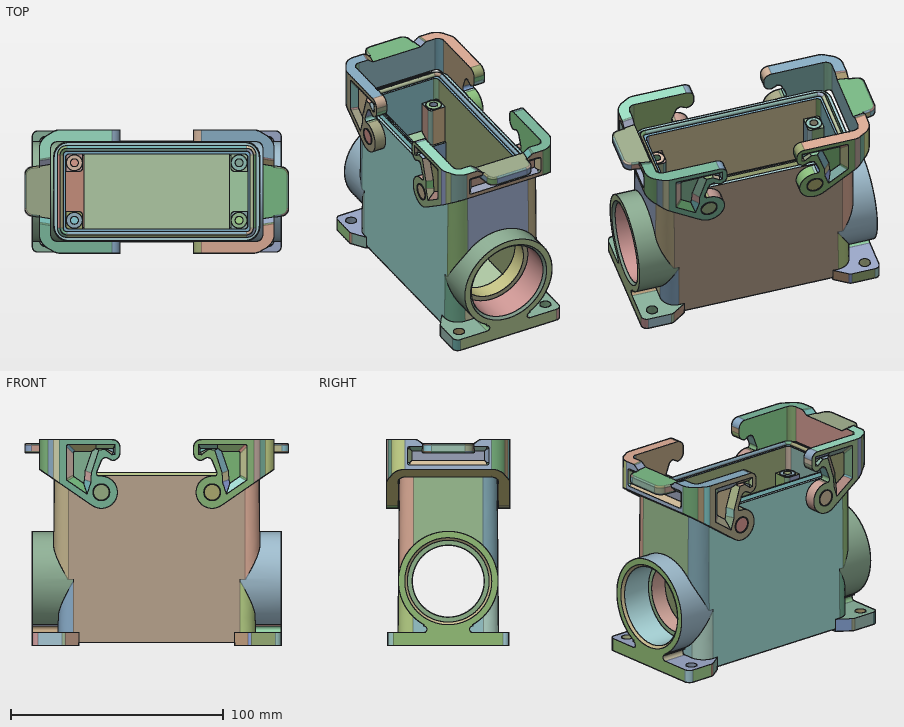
import cadquery as cq
import math

overall_length = 124.0
overall_width = 58.0
overall_height = 96.8

body_bottom = 1.4
cable_axis_height = 30.3
lip_height = 79.9
body_length = 97.7
body_width = 47.4
lower_body_length = 92.8
upper_body_corner = 7.5
lower_body_corner = 7.2
body_draft = 0.5

bead_height = 1.5
bead_outer_length = 93.2
bead_outer_width = 43.2
bead_corner = 4.3
bead_slope_width = 1.2
bead_width = 2.7
bead_rounding = 1.2

cavity_length = 85.8
cavity_width = 35.2
cavity_corner = 1.9
cavity_floor = 6.2
lower_cavity_length = 68.5
end_block_height = 52.1
end_block_slope = 25.0

post_x = 38.7
post_y = 13.5
post_size = 7.7
post_wall_overlap = 0.5
post_corner = 1.7
post_height = 68.5
post_pad_radius = 3.7
post_pad_height = 0.4
post_hole_radius = 1.9
post_hole_depth = 14.9

entry_face = 58.5
entry_radius = 23.4
entry_bore_radius = 19.2
entry_bore_end = 42.5
entry_chamfer = 1.2
passage_radius = 16.9
web_half_width = 10.0
web_top = 10.7
web_groove_radius = 1.5

flange_height = 6.2
flange_half_width = 28.5
flange_shoulder = 43.6
flange_inner_end = 36.6
flange_corner = 2.7
flange_hole_x = 52.3
flange_hole_y = 23.2
flange_hole_radius = 2.6

lever_end = 55.2
lever_inner_end = 49.8
lever_inner_half_width = 23.4
lever_inner_corner = 3.1
lever_slope = 34.4
pivot_x = 26.0
pivot_z = 72.0
pivot_boss_radius = 7.6
pin_radius = 4.0
pin_inner_radius = 3.7
pin_groove_depth = 0.2
hook_end = 17.2
hook_radius = 3.7
hook_bottom = 86.9
recess_top = 94.5
recess_depth = 2.5
hook_recess_depth = 1.5
recess_corner = 1.6

end_recess_half_width = 19.2
end_recess_bottom = 84.8
end_recess_top = 93.6
end_recess_depth = 2.2
end_recess_corner = 1.2

tab_top = 94.9
tab_bottom = 90.5
tab_tip_half_width = 11.2
tab_root_half_width = 12.8
tab_corner = 3.7
tab_edge = 0.7
notch_end_half_width = 11.9
notch_flare = 2.9
notch_rounding = 1.2

half_width = overall_width / 2


def rounded_block(length, width, corner, bottom, top, draft=0):
    """Upright block with rounded vertical corners, optionally tapering upwards."""
    outline = cq.Sketch().rect(length, width).vertices().fillet(corner)
    return cq.Workplane("XY", origin=(0, 0, bottom)).placeSketch(outline).extrude(top - bottom, taper=draft)


def both_ends(shape):
    """Shape at the -X end together with its mirror image at the +X end."""
    return shape.union(shape.mirror("YZ"))


def rod_along_x(radius, start, end):
    """Rod on the cable axis between two X positions."""
    return cq.Workplane("YZ", origin=(start, 0, cable_axis_height)).circle(radius).extrude(end - start)


def make_body():
    """Tapered body that is shorter below the cable axis; both parts share the same side faces."""
    upper = rounded_block(body_length, body_width, upper_body_corner, body_bottom, lip_height, body_draft)
    lower = rounded_block(lower_body_length, body_width, lower_body_corner,
                          body_bottom, lip_height, body_draft)
    above_axis = (
        cq.Workplane("XY", origin=(0, 0, cable_axis_height))
        .rect(overall_length, overall_width)
        .extrude(overall_height)
    )
    return upper.intersect(above_axis).union(lower)


def make_bead():
    """Ring with a sloped outer flank and a rounded inner flank."""
    slope_angle = math.degrees(math.atan(bead_slope_width / bead_height))
    top = lip_height + bead_height
    inner_length = bead_outer_length - 2 * bead_width
    inner_width = bead_outer_width - 2 * bead_width
    ring = rounded_block(bead_outer_length, bead_outer_width, bead_corner, lip_height, top, slope_angle)
    inner = rounded_block(inner_length, inner_width, bead_corner - bead_width, lip_height, top)
    margin = 0.1
    inner_rim = cq.selectors.BoxSelector(
        (-inner_length / 2 - margin, -inner_width / 2 - margin, top - margin),
        (inner_length / 2 + margin, inner_width / 2 + margin, top + margin),
        boundingbox=True)
    return ring.cut(inner).edges(inner_rim).fillet(bead_rounding)


def make_cavity():
    """Cavity whose ends step inwards over sloped blocks above the cable entries."""
    cavity = rounded_block(cavity_length, cavity_width, cavity_corner, cavity_floor, lip_height)
    step = (cavity_length - lower_cavity_length) / 2
    slope_foot = end_block_height - step * math.tan(math.radians(end_block_slope))
    end_block = (
        cq.Workplane("XZ")
        .polyline([
            (-cavity_length / 2, cavity_floor),
            (-lower_cavity_length / 2, cavity_floor),
            (-lower_cavity_length / 2, slope_foot),
            (-cavity_length / 2, end_block_height),
        ])
        .close()
        .extrude(cavity_width / 2, both=True)
    )
    return cavity.cut(both_ends(end_block))


def make_posts():
    """Drilled posts that rise from inside the end blocks, each topped by a low round pad."""
    centres = [(sx * post_x, sy * post_y) for sx in (-1, 1) for sy in (-1, 1)]
    foot = end_block_height - (cavity_length - lower_cavity_length)
    outline = cq.Sketch().push(centres).rect(post_size, post_size + post_wall_overlap).reset()
    outline = outline.vertices(cq.selectors.BoxSelector(
        (-post_x, -post_y, -1.2), (post_x, post_y, 1.2))).fillet(post_corner)
    posts = cq.Workplane("XY", origin=(0, 0, foot)).placeSketch(outline)
    posts = posts.extrude(post_height - post_pad_height - foot)
    pads = cq.Workplane("XY", origin=(0, 0, foot)).pushPoints(centres)
    pads = pads.circle(post_pad_radius).extrude(post_height - foot)
    holes = cq.Workplane("XY", origin=(0, 0, post_height)).pushPoints(centres)
    holes = holes.circle(post_hole_radius).extrude(-post_hole_depth)
    return posts.union(pads).cut(holes)


def make_entry():
    """Cable tube with a grooved web that joins it to the flange."""
    flat_side_end = lower_body_length / 2 - lower_body_corner
    tube = rod_along_x(entry_radius, -entry_face, -flat_side_end)
    web_length = entry_face - lower_body_length / 2
    web_depth = web_top - flange_height
    web = (
        cq.Workplane("XY", origin=(-entry_face + web_length / 2, 0, flange_height + web_depth / 2))
        .box(web_length, 2 * (web_half_width + web_groove_radius), web_depth)
    )
    grooves = (
        cq.Workplane("YZ", origin=(-entry_face, 0, flange_height + web_groove_radius))
        .pushPoints([(s * (web_half_width + web_groove_radius), 0) for s in (-1, 1)])
        .circle(web_groove_radius)
        .extrude(web_length)
    )
    return tube.union(web.cut(grooves))


def make_entry_bore():
    """Chamfered bore with a narrower passage into the cavity."""
    bore = rod_along_x(entry_bore_radius, -entry_face, -entry_bore_end)
    mouth = (
        cq.Workplane("YZ", origin=(-entry_face, 0, cable_axis_height))
        .circle(entry_bore_radius + entry_chamfer)
        .workplane(offset=entry_chamfer)
        .circle(entry_bore_radius)
        .loft()
    )
    return bore.union(mouth).union(rod_along_x(passage_radius, -entry_face, 0))


def make_flange():
    """Plate across the -X end that narrows to meet the body sides."""
    body_side = body_width / 2
    plate = (
        cq.Workplane("XY")
        .polyline([
            (-entry_face, -flange_half_width),
            (-flange_shoulder, -flange_half_width),
            (-flange_inner_end, -body_side),
            (-flange_inner_end, body_side),
            (-flange_shoulder, flange_half_width),
            (-entry_face, flange_half_width),
        ])
        .close()
        .extrude(flange_height)
    )
    plate = plate.edges("|Z").edges(cq.selectors.BoxSelector(
        (-overall_length, -half_width, -1.2), (-flange_shoulder + 1.2, half_width, flange_height + 1.2)))
    return plate.fillet(flange_corner)


def make_flange_holes():
    return (
        cq.Workplane("XY")
        .pushPoints([(-flange_hole_x, s * flange_hole_y) for s in (-1, 1)])
        .circle(flange_hole_radius)
        .extrude(flange_height)
    )


def lever_side_profile():
    """Side outline: flat top, hook, neck, pivot boss and sloped lower edge."""
    slope = math.radians(lever_slope)
    tangent_x = -pivot_x - pivot_boss_radius * math.sin(slope)
    tangent_z = pivot_z - pivot_boss_radius * math.cos(slope)
    end_z = tangent_z + (tangent_x + lever_end) * math.tan(slope)
    hook_x = -hook_end - hook_radius
    diagonal = hook_radius * math.sqrt(0.5)
    upper_z = overall_height - hook_radius
    lower_z = hook_bottom + hook_radius
    return (
        cq.Workplane("XZ", origin=(0, half_width, 0))
        .moveTo(-lever_end, overall_height)
        .lineTo(hook_x, overall_height)
        .threePointArc((hook_x + diagonal, upper_z + diagonal), (-hook_end, upper_z))
        .lineTo(-hook_end, lower_z)
        .threePointArc((hook_x + diagonal, lower_z - diagonal), (hook_x, hook_bottom))
        .lineTo(-23.5, 88.3)
        .threePointArc((-25.2, 87.9), (-26.2, 86.5))
        .lineTo(-28.0, 81.8)
        .threePointArc((-28.1, 80.5), (-27.4, pivot_z + pivot_boss_radius))
        .lineTo(-pivot_x, pivot_z + pivot_boss_radius)
        .threePointArc((-pivot_x + pivot_boss_radius, pivot_z), (tangent_x, tangent_z))
        .lineTo(-lever_end, end_z)
        .close()
        .extrude(overall_width)
    )


def lever_plan():
    """Plan of the lever: a U whose outer corners are an arc, a short flat and an arc."""
    outer = (
        cq.Workplane("XY")
        .moveTo(0, -half_width)
        .lineTo(-45.8, -half_width)
        .threePointArc((-47.2, -28.8), (-48.6, -28.1))
        .lineTo(-51.1, -26.7)
        .threePointArc((-54.2, -23.8), (-lever_end, -20.0))
        .lineTo(-lever_end, 0)
        .lineTo(0, 0)
        .close()
        .extrude(overall_height)
    )
    outer = outer.union(outer.mirror("XZ"))
    inner = rounded_block(2 * lever_inner_end, 2 * lever_inner_half_width, lever_inner_corner,
                          0, overall_height)
    return outer.cut(inner)


def side_pocket(rim, floor, depth):
    """Pocket with sloped walls, cut from the -Y side of the lever."""
    return (
        cq.Workplane("XZ", origin=(0, -half_width, 0))
        .polyline(rim)
        .close()
        .workplane(offset=-depth)
        .polyline(floor)
        .close()
        .loft(ruled=True)
    )


def make_side_recess():
    """Main recess of one lever arm and its tail running into the hook."""
    rise = math.tan(math.radians(lever_slope))
    rim_left = -42.4
    rim_low_x = -32.7
    rim_low_z = 71.2
    rim_corner_z = rim_low_z + (rim_low_x - rim_left) * rise
    floor_left = -39.2
    floor_low_x = -34.3
    floor_low_z = 76.3
    floor_corner_z = floor_low_z + (floor_low_x - floor_left) * rise
    main = side_pocket(
        [(rim_left, recess_top), (-26.4, recess_top), (-30.8, 81.0), (-30.9, 76.9),
         (rim_low_x, rim_low_z), (rim_left, rim_corner_z)],
        [(floor_left, 91.3), (-30.5, 91.3), (-33.6, 82.2), (-34.0, 78.0),
         (floor_low_x, floor_low_z), (floor_left, floor_corner_z)],
        recess_depth,
    )
    outer_corners = cq.selectors.BoxSelector(
        (-lever_end, -half_width - 1.2, 0), (-37.2, half_width, overall_height), boundingbox=True)
    main = main.edges(outer_corners).edges("not #Y").fillet(recess_corner)
    tail = side_pocket(
        [(-28.5, recess_top), (-19.6, recess_top), (-19.6, 89.9),
         (-21.0, 89.7), (-24.2, 92.1), (-27.9, 91.9)],
        [(-28.5, 92.6), (-20.5, 92.6), (-20.3, 90.8),
         (-20.5, 90.8), (-23.9, 92.5), (-28.4, 92.5)],
        hook_recess_depth,
    )
    return main.union(tail)


def make_end_recess():
    """Shallow recess with 45 degree walls on the end face of the lever."""
    centre = (end_recess_top + end_recess_bottom) / 2
    outline = (
        cq.Sketch()
        .rect(2 * end_recess_half_width, end_recess_top - end_recess_bottom)
        .vertices()
        .fillet(end_recess_corner)
    )
    return (
        cq.Workplane("YZ", origin=(-lever_end, 0, centre))
        .placeSketch(outline)
        .extrude(end_recess_depth, taper=45)
    )


def make_tab():
    """Finger tab that narrows towards its rounded tip."""
    half_length = overall_length / 2
    tab = (
        cq.Workplane("XY", origin=(0, 0, tab_bottom))
        .polyline([
            (-half_length, -tab_tip_half_width),
            (-lever_inner_end, -tab_root_half_width),
            (-lever_inner_end, tab_root_half_width),
            (-half_length, tab_tip_half_width),
        ])
        .close()
        .extrude(tab_top - tab_bottom)
    )
    tab = tab.edges("|Z and <X").fillet(tab_corner)
    return tab.faces("<Z or >Z").edges("not >X").fillet(tab_edge)


def make_tab_notch():
    """Flared notch that lowers the end wall to the top of the tab."""
    def section(half_floor):
        return [
            (-half_floor, tab_top),
            (half_floor, tab_top),
            (half_floor + notch_flare, overall_height),
            (-half_floor - notch_flare, overall_height),
        ]

    return (
        cq.Workplane("YZ", origin=(-lever_end, 0, 0))
        .polyline(section(notch_end_half_width))
        .close()
        .workplane(offset=lever_end - lever_inner_end)
        .polyline(section(tab_root_half_width))
        .close()
        .loft(ruled=True)
    )


def make_pins():
    """Pivot pins from the body wall to the lever faces, each marked by a ring groove."""
    pin_start = (cavity_width / 2 + lever_inner_half_width) / 2
    pin = (
        cq.Workplane("XZ", origin=(-pivot_x, -pin_start, pivot_z))
        .circle(pin_radius)
        .extrude(half_width - pin_start)
    )
    return pin.union(pin.mirror("XZ"))


def make_pin_grooves():
    groove = (
        cq.Workplane("XZ", origin=(-pivot_x, -half_width, pivot_z))
        .circle(pin_radius)
        .circle(pin_inner_radius)
        .extrude(-pin_groove_depth)
    )
    return groove.union(groove.mirror("XZ"))


def make_lever():
    lever = lever_side_profile().intersect(lever_plan())
    recess = make_side_recess()
    lever = lever.cut(recess).cut(recess.mirror("XZ"))
    lever = lever.cut(make_end_recess()).cut(make_tab_notch())
    notch_lips = cq.selectors.BoxSelector(
        (-lever_end - 1.2, -lever_inner_half_width + lever_inner_corner, overall_height - 0.1),
        (-lever_inner_end + 1.2, lever_inner_half_width - lever_inner_corner, overall_height + 0.1))
    lever = lever.edges(notch_lips).edges("not |Y").fillet(notch_rounding)
    lever = lever.union(make_tab()).union(make_pins())
    return lever.cut(make_pin_grooves())


housing = make_body().union(both_ends(make_entry())).union(both_ends(make_flange()))
housing = housing.cut(make_cavity()).union(make_bead()).union(make_posts())
housing = housing.cut(both_ends(make_entry_bore())).cut(both_ends(make_flange_holes()))
result = housing.union(both_ends(make_lever()))